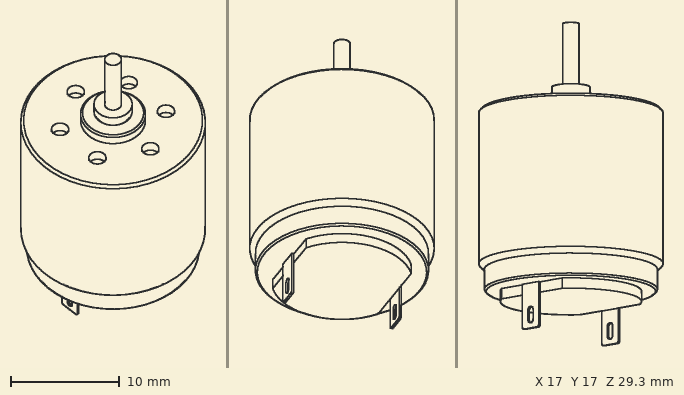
import cadquery as cq

plate_bottom = 3.25
can_bottom = 4.22
neck_top = 6.27
can_top = 21.2
boss_top = 22.2
collar_bottom = 22.39
collar_top = 23.35
shaft_top = 29.3

can_radius = 8.5
neck_radius = 7.97
plate_radius = 6.5
boss_radius = 3.0
spacer_radius = 1.6
collar_radius = 1.75
shaft_radius = 0.75

can_chamfer = 0.25
neck_chamfer = 0.18
boss_chamfer = 0.18

hole_count = 6
hole_radius = 0.8
hole_circle_radius = 5.0
hole_depth = 1.0

flat_distance = 5.3
terminal_thickness = 0.2
terminal_width = 2.05
terminal_corner = 0.2
slot_width = 0.65
slot_length = 1.52
slot_height = 1.25


def cylinder(radius, bottom, top):
    return cq.Workplane("XY").workplane(offset=bottom).circle(radius).extrude(top - bottom)


def make_can():
    """Motor can: narrow neck, 45 degree shoulder, wide body and chamfered rims."""
    shoulder_top = neck_top + can_radius - neck_radius
    profile = [
        (0, can_bottom),
        (neck_radius - neck_chamfer, can_bottom),
        (neck_radius, can_bottom + neck_chamfer),
        (neck_radius, neck_top),
        (can_radius, shoulder_top),
        (can_radius, can_top - can_chamfer),
        (can_radius - can_chamfer, can_top),
        (0, can_top),
    ]
    return cq.Workplane("XZ").polyline(profile).close().revolve(360, (0, 0), (0, 1))


def make_shaft_end():
    """Bearing boss, spacer, collar and output shaft stacked on the front face."""
    boss = cylinder(boss_radius, can_top, boss_top).faces(">Z").edges().chamfer(boss_chamfer)
    spacer = cylinder(spacer_radius, boss_top, collar_bottom)
    collar = cylinder(collar_radius, collar_bottom, collar_top)
    shaft = cylinder(shaft_radius, collar_top, shaft_top)
    return boss.union(spacer).union(collar).union(shaft)


def make_end_plate():
    """Round end plate cut flat on its two terminal sides."""
    flats = cq.Workplane("XY").box(2 * plate_radius, 2 * flat_distance, 2 * can_bottom)
    return cylinder(plate_radius, plate_bottom, can_bottom).intersect(flats)


def make_terminal(side):
    """Slotted solder tab on the +Y (side = 1) or -Y (side = -1) flat."""
    center_y = side * (flat_distance + terminal_thickness / 2)
    tab = (
        cq.Workplane("XY")
        .box(terminal_width, terminal_thickness, can_bottom, centered=(True, True, False))
        .edges("|Y and <Z")
        .fillet(terminal_corner)
    )
    slot = (
        cq.Workplane("XZ")
        .center(0, slot_height)
        .slot2D(slot_length, slot_width, 90)
        .extrude(terminal_thickness, both=True)
    )
    return tab.cut(slot).translate((0, center_y, 0))


def make_mounting_holes():
    """Ring of blind holes sunk into the front face."""
    return (
        cq.Workplane("XY")
        .workplane(offset=can_top - hole_depth)
        .polarArray(hole_circle_radius, 0, 360, hole_count)
        .circle(hole_radius)
        .extrude(hole_depth)
    )


result = make_can().cut(make_mounting_holes()).union(make_shaft_end()).union(make_end_plate())
for side in (-1, 1):
    result = result.union(make_terminal(side))